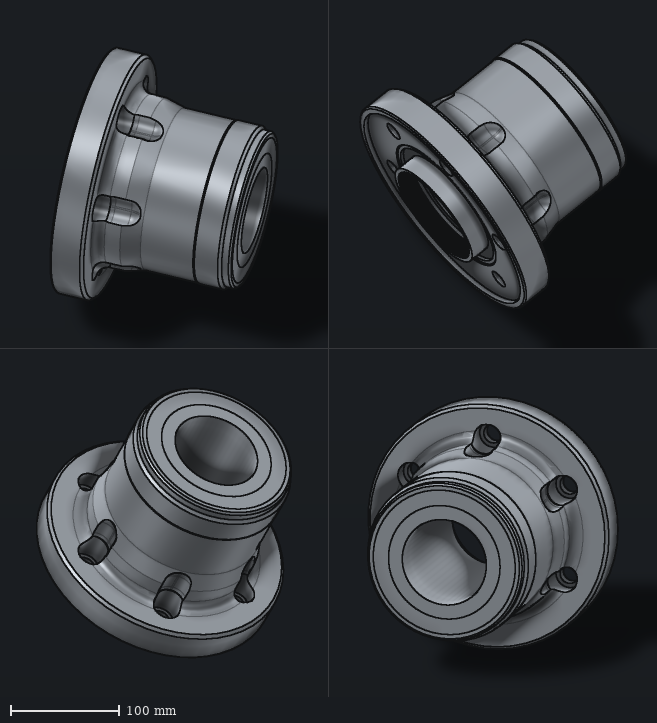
import cadquery as cq
import math


FLANGE_RADIUS = 117.0
FLANGE_THICKNESS = 32.0
FLANGE_FRONT_CHAMFER = 1.5
FLANGE_BACK_CHAMFER = 3.0
HUB_LENGTH = 162.0
RECESS_RADIUS = 110.0
RECESS_DEPTH = 5.0

NECK_RADIUS = 82.5
NECK_FILLET = 10.0
NECK_END = 57.0
BARREL_RADIUS = 77.5
TAPER_END = 75.5
LAND_RADIUS = 78.0
LAND_START = 126.5
LAND_RAMP = 1.5
LAND_END = 150.5
TIP_RADIUS = 75.0
TIP_CHAMFER = 2.0

BOLT_COUNT = 6
BOLT_CIRCLE_RADIUS = 85.5
BOLT_RADIUS = 9.0
CLEARANCE_RADIUS = 13.0
BOLT_SEAT_THICKNESS = 10.2
POCKET_FLAT = 1.5
POCKET_START = 33.5
POCKET_END = 75.2
POCKET_HEIGHT = 40.0

RING_RADIUS = 69.0
BORE_CHAMFER = 1.0
RING_FACE = RECESS_DEPTH + BORE_CHAMFER
RING_LIP_RADIUS = 65.2
RING_LIP_DEPTH = 3.4

SLEEVE_RADIUS = 54.2
SLEEVE_PROJECTION = 10.33
SLEEVE_BORE_RADIUS = 40.8
THREAD_CREST_RADIUS = 49.0
THREAD_DEPTH = 0.7
THREAD_PITCH = 1.0
THREAD_COUNT = 18
COUNTERBORE_DEPTH = 21.5


def revolve_about_x(outline):
    """Turn a closed outline, drawn as (x, radius), about the X axis."""
    return outline.close().revolve(360, (0, 0, 0), (1, 0, 0))


def hub_blank():
    """Flange and barrel with the front recess and the chamfered bore."""
    fillet_center_x = FLANGE_THICKNESS + NECK_FILLET
    fillet_center_r = NECK_RADIUS + NECK_FILLET
    fillet_mid = NECK_FILLET * math.sqrt(0.5)
    outline = (
        cq.Workplane("XY")
        .moveTo(0, RECESS_RADIUS)
        .lineTo(0, FLANGE_RADIUS - FLANGE_FRONT_CHAMFER)
        .lineTo(FLANGE_FRONT_CHAMFER, FLANGE_RADIUS)
        .lineTo(FLANGE_THICKNESS - FLANGE_BACK_CHAMFER, FLANGE_RADIUS)
        .lineTo(FLANGE_THICKNESS, FLANGE_RADIUS - FLANGE_BACK_CHAMFER)
        .lineTo(FLANGE_THICKNESS, fillet_center_r)
        .threePointArc(
            (fillet_center_x - fillet_mid, fillet_center_r - fillet_mid),
            (fillet_center_x, NECK_RADIUS),
        )
        .lineTo(NECK_END, NECK_RADIUS)
        .lineTo(TAPER_END, BARREL_RADIUS)
        .lineTo(LAND_START, BARREL_RADIUS)
        .lineTo(LAND_START + LAND_RAMP, LAND_RADIUS)
        .lineTo(LAND_END, LAND_RADIUS)
        .lineTo(LAND_END + LAND_RADIUS - TIP_RADIUS, TIP_RADIUS)
        .lineTo(HUB_LENGTH - TIP_CHAMFER, TIP_RADIUS)
        .lineTo(HUB_LENGTH, TIP_RADIUS - TIP_CHAMFER)
        .lineTo(HUB_LENGTH, RING_RADIUS)
        .lineTo(RING_FACE, RING_RADIUS)
        .lineTo(RECESS_DEPTH, RING_RADIUS + BORE_CHAMFER)
        .lineTo(RECESS_DEPTH, RECESS_RADIUS)
    )
    return revolve_about_x(outline)


def bolt_cutter():
    """Bolt hole, round clearance behind its seat and round-ended pocket at the top of the hub."""
    bolt_plane = cq.Workplane("YZ").center(0, BOLT_CIRCLE_RADIUS)
    seat_x = RECESS_DEPTH + BOLT_SEAT_THICKNESS
    seat_end = FLANGE_THICKNESS + NECK_FILLET
    hole = bolt_plane.circle(BOLT_RADIUS).extrude(FLANGE_THICKNESS)
    seat = (
        bolt_plane.workplane(offset=seat_x)
        .circle(CLEARANCE_RADIUS)
        .extrude(seat_end - seat_x)
    )
    pocket_floor = BOLT_CIRCLE_RADIUS - CLEARANCE_RADIUS
    pocket = (
        cq.Workplane("XY")
        .box(
            POCKET_END - POCKET_START,
            2 * CLEARANCE_RADIUS + POCKET_FLAT,
            POCKET_HEIGHT,
            centered=(False, True, False),
        )
        .edges("|Z or <Z")
        .fillet(CLEARANCE_RADIUS)
        .translate((POCKET_START, 0, pocket_floor))
    )
    return hole.union(seat).union(pocket)


def make_hub():
    hub = hub_blank()
    cutter = bolt_cutter()
    for index in range(BOLT_COUNT):
        angle = index * 360 / BOLT_COUNT
        hub = hub.cut(cutter.rotate((0, 0, 0), (1, 0, 0), angle))
    return hub


def make_bearing_ring():
    """Ring between hub and sleeve, with a raised lip around its front face."""
    lip_floor = RING_FACE + RING_LIP_DEPTH
    outline = (
        cq.Workplane("XY")
        .moveTo(RING_FACE, RING_LIP_RADIUS)
        .lineTo(RING_FACE, RING_RADIUS)
        .lineTo(HUB_LENGTH, RING_RADIUS)
        .lineTo(HUB_LENGTH, SLEEVE_RADIUS)
        .lineTo(lip_floor, SLEEVE_RADIUS)
        .lineTo(lip_floor, RING_LIP_RADIUS)
    )
    return revolve_about_x(outline)


def make_sleeve():
    """Through-bored sleeve whose front counterbore carries V-shaped thread grooves."""
    front = -SLEEVE_PROJECTION
    counterbore_floor = front + COUNTERBORE_DEPTH
    outline = (
        cq.Workplane("XY")
        .moveTo(HUB_LENGTH, SLEEVE_BORE_RADIUS)
        .lineTo(HUB_LENGTH, SLEEVE_RADIUS)
        .lineTo(front, SLEEVE_RADIUS)
    )
    for index in range(THREAD_COUNT):
        groove_start = front + index * THREAD_PITCH
        outline = outline.lineTo(groove_start, THREAD_CREST_RADIUS + THREAD_DEPTH)
        outline = outline.lineTo(groove_start + THREAD_PITCH / 2, THREAD_CREST_RADIUS)
    outline = (
        outline
        .lineTo(counterbore_floor, THREAD_CREST_RADIUS)
        .lineTo(counterbore_floor, SLEEVE_BORE_RADIUS)
    )
    return revolve_about_x(outline)


hub = make_hub()
bearing_ring = make_bearing_ring()
sleeve = make_sleeve()

result = cq.Compound.makeCompound([hub.val(), bearing_ring.val(), sleeve.val()])